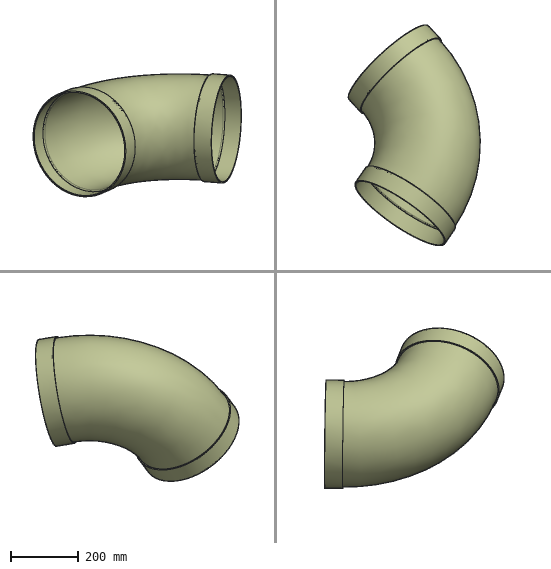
import cadquery as cq
import math

bend_angle = 75.0
pipe_diameter = 315.0
wall = 4.0
collar_length = 54.0

bend_radius = pipe_diameter
pipe_radius = pipe_diameter / 2
pipe_bore_radius = pipe_radius - wall
collar_radius = pipe_radius + wall
lip_radius = wall


def round_bend(radius):
    """Solid round bend from the origin along +Y, curving towards +X."""
    return (
        cq.Workplane("XZ")
        .circle(radius)
        .revolve(bend_angle, (bend_radius, 1, 0), (bend_radius, -1, 0))
    )


def inlet_collar():
    """Socket collar from Y = 0 towards -Y, with a convex lip where its bore meets the pipe."""
    lip_offset = lip_radius * math.sin(math.radians(45))
    lip_middle = (pipe_radius - lip_offset, -lip_offset)
    return (
        cq.Workplane("XY")
        .moveTo(pipe_bore_radius, 0)
        .lineTo(collar_radius, 0)
        .lineTo(collar_radius, -collar_length)
        .lineTo(pipe_radius, -collar_length)
        .lineTo(pipe_radius, -lip_radius)
        .threePointArc(lip_middle, (pipe_bore_radius, 0))
        .close()
        .revolve(360, (0, 0, 0), (0, 1, 0))
    )


def outlet_collar():
    """The inlet collar mirrored to face +Y and turned about the bend axis to the outlet."""
    axis_start = (bend_radius, 0, 0)
    axis_end = (bend_radius, 0, 1)
    return inlet_collar().mirror("XZ").rotate(axis_start, axis_end, -bend_angle)


elbow = round_bend(pipe_radius).cut(round_bend(pipe_bore_radius))
result = elbow.union(inlet_collar()).union(outlet_collar())